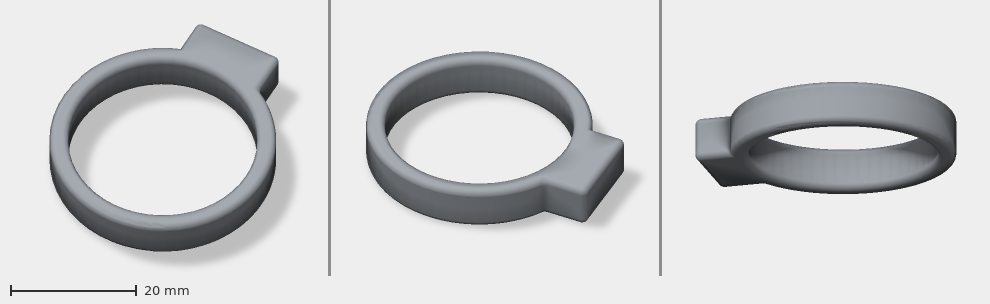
import math

import cadquery as cq

bore_diameter = 30.0
wall = 3.0
height = 7.0
edge_radius = 1.0

block_tilt = 27.0
block_reach = 22.85
block_left = -6.2
block_right = 8.77
corner_radius = 1.0

bore_radius = bore_diameter / 2
outer_radius = bore_radius + wall
mid_wall_radius = bore_radius + wall / 2


def make_ring():
    """Plain ring with all four circular edges rounded."""
    ring = cq.Workplane("XY").circle(outer_radius).circle(bore_radius).extrude(height)
    return ring.faces("<Z or >Z").edges().fillet(edge_radius)


def make_block():
    """Block with rounded edges, trimmed to start inside the ring wall."""
    block = (
        cq.Workplane("XY")
        .moveTo(block_left, 0)
        .lineTo(block_right, 0)
        .lineTo(block_right, block_reach)
        .lineTo(block_left, block_reach)
        .close()
        .extrude(height)
        .edges("(|Y) or (>Y)")
        .fillet(edge_radius)
    )
    core = cq.Workplane("XY").circle(mid_wall_radius).extrude(height)
    return block.cut(core)


def round_right_corner(body):
    """Round the upright inside corner where the block's right side face meets the rim."""
    corner_y = math.sqrt(outer_radius**2 - block_right**2)
    corner = (block_right, corner_y, height / 2)
    return body.edges(cq.selectors.NearestToPointSelector(corner)).fillet(corner_radius)


housing = round_right_corner(make_ring().union(make_block()))
housing = housing.rotate((0, 0, 0), (0, 0, 1), block_tilt)

result = cq.Compound.makeCompound(housing.solids().vals())